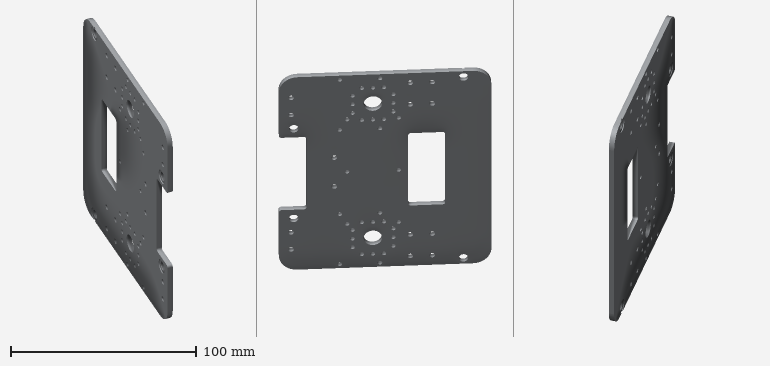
import cadquery as cq

width = 115.0
height = 133.0
thickness = 3.0
corner_radius = 10.0

opening_height = 50.0
opening_radius = 1.5
window_width = 20.1
window_x = -22.5
notch_x = 42.5
notch_lip_radius = 1.5

small_hole = 2.5
medium_hole = 3.0
screw_hole = 5.0
counterbore_diameter = 8.1
counterbore_depth = 0.5
shaft_hole = 10.0

motor_x = 6.6
motor_z = 46.4
ring_offset = 11.0
ring_pitch = 6.0

outer_pair_x = 13.7
outer_pair_half_width = 10.9
outer_pair_offset = 17.3
side_pair_half_width = 14.0
side_pair_z = 36.0

left_group_x = (-25.5, -13.5)
left_group_z = (45.0, 59.8)
right_column_x = 51.0
right_column_z = (40.5, 52.4)
middle_pair_x = 27.5
middle_pair_z = 10.0

left_screw = (-42.4, 62.5)
right_screw = (49.5, 31.0)


def mirrored(points):
    """Return the points together with their reflections below Z = 0."""
    return points + [(x, -z) for x, z in points]


def front_plane():
    """XZ sketch plane on the front face; its normal points toward -Y."""
    return cq.Workplane("XZ", origin=(0, -thickness / 2, 0))


def drill(plate, points, diameter, depth=thickness):
    """Cut round holes from the front face to the given depth."""
    cutter = front_plane().pushPoints(points).circle(diameter / 2).extrude(-depth)
    return plate.cut(cutter)


def make_plate():
    """Rounded plate with the notch and the window cut through it."""
    plate = cq.Workplane("XY").box(width, thickness, height).edges("|Y").fillet(corner_radius)

    notch_depth = width / 2 - notch_x
    notch = (
        cq.Workplane("XY")
        .box(notch_depth, thickness, opening_height)
        .edges("|Y and <X")
        .fillet(opening_radius)
        .translate((notch_x + notch_depth / 2, 0, 0))
    )
    plate = plate.cut(notch)
    lip_half_height = opening_height / 2
    lips = cq.selectors.BoxSelector(
        (width / 2 - notch_lip_radius, -thickness, -lip_half_height - notch_lip_radius),
        (width / 2 + notch_lip_radius, thickness, lip_half_height + notch_lip_radius),
    )
    plate = plate.edges("|Y").edges(lips).fillet(notch_lip_radius)

    window = (
        cq.Workplane("XY")
        .box(window_width, thickness, opening_height)
        .edges("|Y")
        .fillet(opening_radius)
        .translate((window_x, 0, 0))
    )
    return plate.cut(window)


def ring_points():
    """Three holes along each side of a square around the upper motor shaft."""
    points = []
    for along in (-ring_pitch, 0, ring_pitch):
        for across in (-ring_offset, ring_offset):
            points.append((motor_x + along, motor_z + across))
            points.append((motor_x + across, motor_z + along))
    return points


def outer_points():
    """Small holes outside the ring of the upper motor mount."""
    points = []
    for side in (-1, 1):
        x = outer_pair_x + side * outer_pair_half_width
        points.append((x, motor_z + outer_pair_offset))
        points.append((x, motor_z - outer_pair_offset))
        points.append((motor_x + side * side_pair_half_width, side_pair_z))
    return points


def medium_points():
    """Medium holes in the upper half of the plate."""
    points = [(x, z) for x in left_group_x for z in left_group_z]
    points += [(right_column_x, z) for z in right_column_z]
    points.append((middle_pair_x, middle_pair_z))
    return points


centre_points = [(motor_x + side * side_pair_half_width, 0) for side in (-1, 1)]
screw_points = mirrored([left_screw, right_screw])

result = make_plate()
result = drill(result, mirrored([(motor_x, motor_z)]), shaft_hole)
result = drill(result, mirrored(ring_points() + outer_points()) + centre_points, small_hole)
result = drill(result, mirrored(medium_points()), medium_hole)
result = drill(result, screw_points, screw_hole)
result = drill(result, screw_points, counterbore_diameter, counterbore_depth)